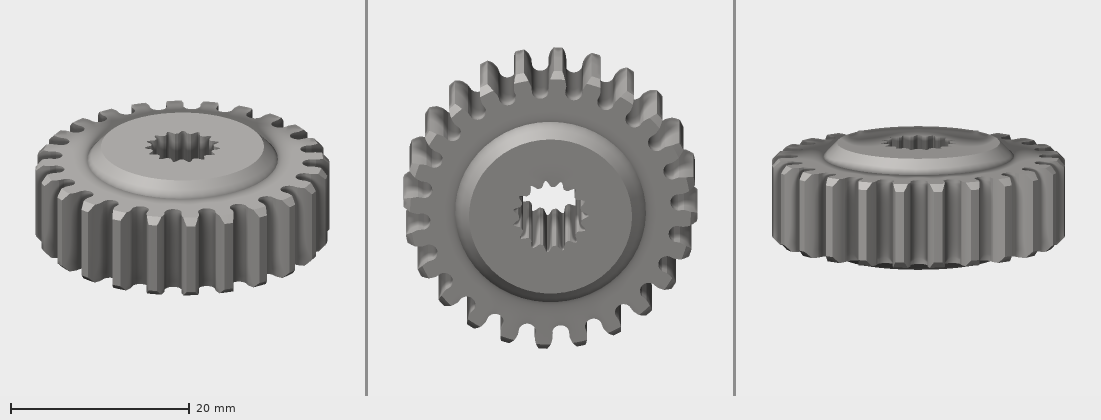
import cadquery as cq
import math

outer_size = 32.85
total_height = 12.7
tooth_count = 24
face_width = 9.6
tip_chamfer = 0.75

gap_half_width_tip = 1.68
gap_half_width_middle = 1.25
gap_half_width_root = 0.95
flank_middle_height = 15.75
flank_start_height = 14.95
root_corner_height = 14.3
root_bottom_height = 13.5

tip_height = outer_size / 2
tip_radius = math.hypot(tip_height, gap_half_width_tip)
cutter_overrun = 0.33

hub_base_radius = 10.7
hub_height = (total_height - face_width) / 2
hub_top_radius = hub_base_radius - hub_height

groove_count = 15
bore_radius = 3.5
groove_bottom_radius = 4.25
groove_half_width_bottom = 0.082
groove_half_width_middle = 0.312
groove_half_width_bevel = 0.43
groove_half_width_mouth = 0.55
groove_middle_height = 3.88
groove_bevel_height = 3.6


def make_blank():
    """Disc centred on the origin, with its two tip edges chamfered."""
    disc = cq.Workplane("XY").circle(tip_radius).extrude(face_width / 2, both=True)
    return disc.faces("|Z").edges().chamfer(tip_chamfer)


def make_tooth_gap():
    """Cutter for the gap at +Y: round root, short straight walls and curved flanks."""
    outside_height = tip_radius + cutter_overrun
    return (
        cq.Workplane("XY")
        .moveTo(-gap_half_width_root, root_corner_height)
        .threePointArc((0, root_bottom_height), (gap_half_width_root, root_corner_height))
        .lineTo(gap_half_width_root, flank_start_height)
        .threePointArc(
            (gap_half_width_middle, flank_middle_height),
            (gap_half_width_tip, tip_height),
        )
        .lineTo(gap_half_width_tip, outside_height)
        .lineTo(-gap_half_width_tip, outside_height)
        .lineTo(-gap_half_width_tip, tip_height)
        .threePointArc(
            (-gap_half_width_middle, flank_middle_height),
            (-gap_half_width_root, flank_start_height),
        )
        .close()
        .extrude(face_width / 2, both=True)
    )


def make_hub():
    """Cylinder with 45 degree cones at both ends, revolved about Z."""
    return (
        cq.Workplane("XZ")
        .moveTo(0, -total_height / 2)
        .lineTo(hub_top_radius, -total_height / 2)
        .lineTo(hub_base_radius, -face_width / 2)
        .lineTo(hub_base_radius, face_width / 2)
        .lineTo(hub_top_radius, total_height / 2)
        .lineTo(0, total_height / 2)
        .close()
        .revolve(360, (0, 0, 0), (0, 1, 0))
    )


def make_bore_groove():
    """Cutter for the spline groove at +Y, tapering to a narrow bottom, with a bevelled mouth."""
    bottom_corner_height = math.sqrt(groove_bottom_radius**2 - groove_half_width_bottom**2)
    mouth_height = math.sqrt(bore_radius**2 - groove_half_width_mouth**2)
    return (
        cq.Workplane("XY")
        .moveTo(-groove_half_width_mouth, mouth_height)
        .lineTo(-groove_half_width_bevel, groove_bevel_height)
        .threePointArc(
            (-groove_half_width_middle, groove_middle_height),
            (-groove_half_width_bottom, bottom_corner_height),
        )
        .threePointArc((0, groove_bottom_radius), (groove_half_width_bottom, bottom_corner_height))
        .threePointArc(
            (groove_half_width_middle, groove_middle_height),
            (groove_half_width_bevel, groove_bevel_height),
        )
        .lineTo(groove_half_width_mouth, mouth_height)
        .lineTo(0, 0)
        .close()
        .extrude(total_height / 2, both=True)
    )


def cut_around(body, cutter, count):
    """Cut equally spaced copies of the cutter around the Z axis."""
    for index in range(count):
        body = body.cut(cutter.rotate((0, 0, 0), (0, 0, 1), index * 360 / count))
    return body


gear = cut_around(make_blank(), make_tooth_gap(), tooth_count)
gear = gear.union(make_hub())
bore = cq.Workplane("XY").circle(bore_radius).extrude(total_height / 2, both=True)
result = cut_around(gear.cut(bore), make_bore_groove(), groove_count)